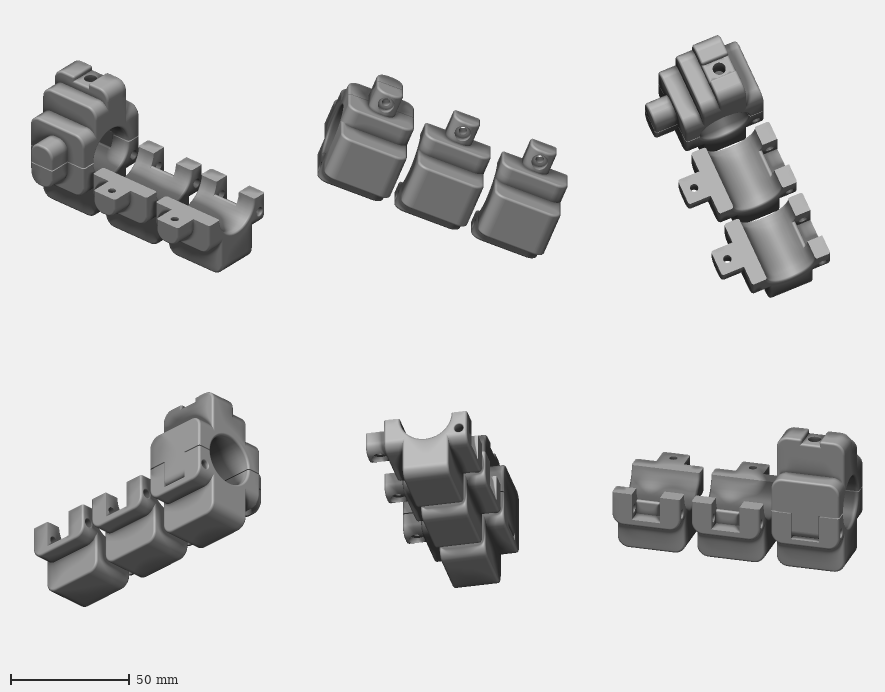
import cadquery as cq
import math

clamp_width = 30.0
clamp_depth = 36.0
clamp_height = 30.0
corner_radius = 5.0
edge_radius = 1.0

bore_radius = 11.2
split_gap = 0.5
body_pitch = 35.0
lower_half_count = 3

lobe_depth = 20.0
lower_lobe_bottom = -28.8
shoulder_top = 25.3
crown_top = 30.8
crown_front = -2.4

notch_width = 7.8
notch_depth = 2.0
socket_diameter = 5.5
socket_depth = 10.0

tab_width = 12.0
tab_length = 10.0
tab_height = 20.0
screw_hole_diameter = 3.5
screw_head_diameter = 7.0
screw_head_seat = -7.0

hinge_diameter = 7.0
hinge_z = -8.1
post_hole_diameter = 3.8
tongue_hole_diameter = 3.5
pin_hole_rounding = 0.5
tongue_width = 12.0
slot_width = 12.4
slot_floor = -12.0

half_width = clamp_width / 2
back_y = clamp_depth / 2
front_y = -back_y
lobe_back = lobe_depth / 2
crown_middle_y = (crown_front + lobe_back) / 2
notch_floor = crown_top - notch_depth
tab_front = front_y - tab_length
tab_bottom = -tab_height / 2
screw_y = front_y - tab_length / 2
hinge_y = back_y - hinge_diameter / 2
hinge_wall_y = back_y - hinge_diameter
split_top = split_gap / 2
split_bottom = -split_gap / 2
clearance = 1.0


def box_between(x_range, y_range, z_range):
    """Plain box given by its limits along each axis."""
    (x0, x1), (y0, y1), (z0, z1) = x_range, y_range, z_range
    return cq.Workplane("XY").box(x1 - x0, y1 - y0, z1 - z0, centered=False).translate((x0, y0, z0))


def rounded_block(width, y_range, z_range, rounded_ends="<Y or >Y"):
    """Block with large corners along Y and softened end faces, centred on X = 0."""
    block = box_between((-width / 2, width / 2), y_range, z_range)
    block = block.edges("|Y").fillet(corner_radius)
    return block.faces(rounded_ends).edges().fillet(edge_radius)


def flared_hole(radius, mouth_radius, y, z):
    """Cutter along X through the clamp, with a convex rounding at both mouths."""
    inner_x = half_width - mouth_radius
    arc_offset = mouth_radius * (1 - math.cos(math.pi / 4))
    outer = radius + mouth_radius
    arc_middle_x = half_width - arc_offset
    arc_middle_r = radius + arc_offset
    profile = (
        cq.Workplane("XY")
        .moveTo(-half_width, 0)
        .lineTo(-half_width, outer)
        .threePointArc((-arc_middle_x, arc_middle_r), (-inner_x, radius))
        .lineTo(inner_x, radius)
        .threePointArc((arc_middle_x, arc_middle_r), (half_width, outer))
        .lineTo(half_width, 0)
        .close()
    )
    return profile.revolve(360, (0, 0, 0), (1, 0, 0)).translate((0, y, z))


def vertical_hole(diameter, y, z_range):
    """Cylinder along Z at X = 0."""
    z0, z1 = z_range
    return cq.Workplane("XY", origin=(0, y, z0)).circle(diameter / 2).extrude(z1 - z0)


def clamp_core():
    """Main clamp block with the front tab, before boring and splitting."""
    core = rounded_block(clamp_width, (front_y, back_y), (-clamp_height / 2, clamp_height / 2))
    tab_root = front_y + 2 * edge_radius
    tab = rounded_block(tab_width, (tab_front, tab_root), (tab_bottom, -tab_bottom), "<Y")
    return core.union(tab)


def keep_between(solid, z_range):
    """Part of a solid that lies in a Z range."""
    reach = clamp_width + clamp_depth
    return solid.intersect(box_between((-reach, reach), (-reach, reach), z_range))


def pin_hole(diameter):
    """Cutter for the hinge pin's hole."""
    return flared_hole(diameter / 2, pin_hole_rounding, hinge_y, hinge_z)


def crown():
    """Top step of the upper half, with the notch across it."""
    block = box_between((-half_width, half_width), (crown_front, lobe_back), (0, crown_top))
    block = block.edges("|Y").edges(">Z").fillet(corner_radius)
    notch = box_between(
        (-notch_width / 2, notch_width / 2),
        (crown_front - clearance, lobe_back + clearance),
        (notch_floor, crown_top + clearance),
    )
    block = block.cut(notch)
    for side in (-1, 1):
        rim_middle = (side * notch_width / 2, crown_middle_y, crown_top)
        rim = cq.selectors.NearestToPointSelector(rim_middle)
        block = block.edges(rim).fillet(edge_radius)
    return block.faces("<Y or >Y").edges("not <Z").fillet(edge_radius)


def hinge_tongue():
    """Tongue hanging from the upper half, rounded about the hinge axis."""
    profile = (
        cq.Workplane("YZ", origin=(-tongue_width / 2, 0, 0))
        .moveTo(hinge_wall_y, split_top + clearance)
        .lineTo(hinge_wall_y, hinge_z)
        .threePointArc((hinge_y, hinge_z - hinge_diameter / 2), (back_y, hinge_z))
        .lineTo(back_y, split_top + clearance)
        .close()
    )
    return profile.extrude(tongue_width).cut(pin_hole(tongue_hole_diameter))


def upper_half():
    shoulder = rounded_block(clamp_width, (-lobe_back, lobe_back), (-clamp_height / 2, shoulder_top))
    body = clamp_core().union(shoulder).union(crown())
    body = body.cut(flared_hole(bore_radius, edge_radius, 0, 0))
    body = keep_between(body, (split_top, crown_top))
    body = body.cut(vertical_hole(socket_diameter, crown_middle_y, (notch_floor - socket_depth, crown_top)))
    return body.union(hinge_tongue())


def hinge_slot():
    """Cutter for the tongue's slot; the lip between slot and bore is rounded over."""
    lip_y = hinge_wall_y - edge_radius
    lip_reach = bore_radius + edge_radius
    lip_z = -math.sqrt(lip_reach**2 - lip_y**2)
    bore_share = bore_radius / lip_reach
    tangent = (lip_y * bore_share, lip_z * bore_share)
    profile = (
        cq.Workplane("YZ", origin=(-slot_width / 2, 0, 0))
        .moveTo(hinge_wall_y, slot_floor)
        .lineTo(hinge_wall_y, lip_z)
        .threePointArc((lip_y, lip_z + edge_radius), tangent)
        .lineTo(tangent[0], clearance)
        .lineTo(back_y + clearance, clearance)
        .lineTo(back_y + clearance, slot_floor)
        .close()
    )
    return profile.extrude(slot_width)


def lower_half():
    lobe = rounded_block(clamp_width, (-lobe_back, lobe_back), (lower_lobe_bottom, clamp_height / 2))
    body = clamp_core().union(lobe)
    body = body.cut(flared_hole(bore_radius, edge_radius, 0, 0))
    body = keep_between(body, (lower_lobe_bottom, split_bottom))
    body = body.cut(hinge_slot()).cut(pin_hole(post_hole_diameter))
    body = body.cut(vertical_hole(screw_hole_diameter, screw_y, (tab_bottom, 0)))
    return body.cut(vertical_hole(screw_head_diameter, screw_y, (tab_bottom, screw_head_seat)))


upper = upper_half()
lower = lower_half()
lower_halves = [lower.translate((index * body_pitch, 0, 0)) for index in range(lower_half_count)]

result = cq.Compound.makeCompound([upper.val(), *[half.val() for half in lower_halves]])